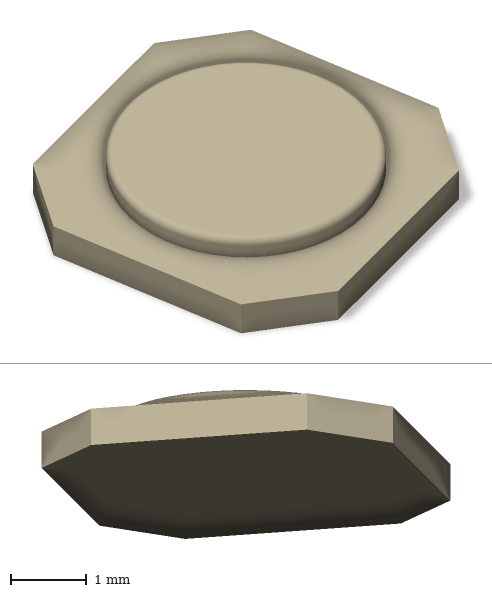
import cadquery as cq

base_side = 4.8
corner_cut = 0.925
base_height = 0.5

total_height = 0.8
disc_diameter = 3.7
rim_radius = 0.1
disc_height = total_height - base_height


def make_base():
    plate = cq.Workplane("XY").box(base_side, base_side, base_height, centered=(True, True, False))
    return plate.edges("|Z").chamfer(corner_cut)


def make_disc():
    disc = cq.Workplane("XY").workplane(offset=base_height).circle(disc_diameter / 2).extrude(disc_height)
    return disc.faces(">Z").edges().fillet(rim_radius)


result = make_base().union(make_disc())